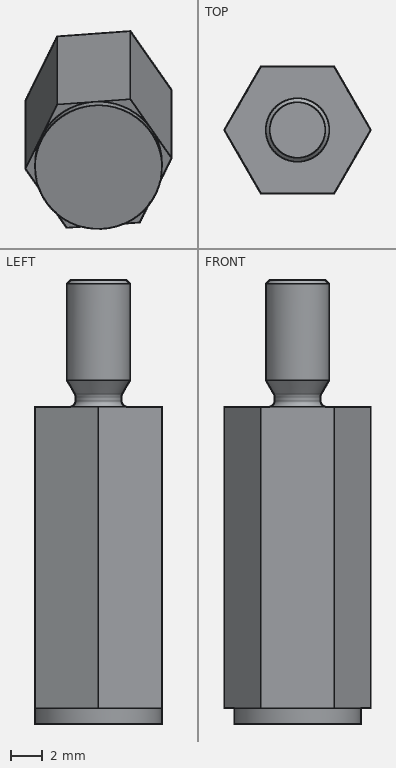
import cadquery as cq
import math

total_height = 28.0
across_flats = 8.0
collar_height = 1.0
stud_length = 8.0
stud_base = total_height - stud_length

stud_radius = 4.0 / 2
tip_chamfer = 0.25
neck_radius = 2.9 / 2
neck_fillet = 0.4
undercut_length = 1.68
cone_angle = math.radians(30)


def make_body():
    """Hexagonal body, with corners on the X axis, above a round collar."""
    collar = cq.Workplane("XY").circle(across_flats / 2).extrude(collar_height)
    across_corners = across_flats / math.cos(math.pi / 6)
    hexagon = (
        cq.Workplane("XY")
        .workplane(offset=collar_height)
        .polygon(6, across_corners)
        .extrude(stud_base - collar_height)
    )
    return collar.union(hexagon)


def make_stud():
    """Stud revolved about Z: filleted neck, cone, cylinder and chamfered tip."""
    seat_center_r = neck_radius + neck_fillet
    seat_center_z = stud_base + neck_fillet
    arc_middle = math.radians(45)
    seat_mid = (
        seat_center_r - neck_fillet * math.cos(arc_middle),
        seat_center_z - neck_fillet * math.sin(arc_middle),
    )

    cone_top_z = stud_base + undercut_length
    cone_start_r = neck_radius + neck_fillet * (1 - math.cos(cone_angle))
    cone_start_z = cone_top_z - (stud_radius - cone_start_r) / math.tan(cone_angle)
    neck_top_z = cone_start_z - neck_fillet * math.sin(cone_angle)
    upper_mid = (
        neck_radius + neck_fillet * (1 - math.cos(cone_angle / 2)),
        neck_top_z + neck_fillet * math.sin(cone_angle / 2),
    )

    return (
        cq.Workplane("XZ")
        .moveTo(0, stud_base)
        .lineTo(seat_center_r, stud_base)
        .threePointArc(seat_mid, (neck_radius, seat_center_z))
        .lineTo(neck_radius, neck_top_z)
        .threePointArc(upper_mid, (cone_start_r, cone_start_z))
        .lineTo(stud_radius, cone_top_z)
        .lineTo(stud_radius, total_height - tip_chamfer)
        .lineTo(stud_radius - tip_chamfer, total_height)
        .lineTo(0, total_height)
        .close()
        .revolve(360, (0, 0, 0), (0, 1, 0))
    )


result = make_body().union(make_stud())